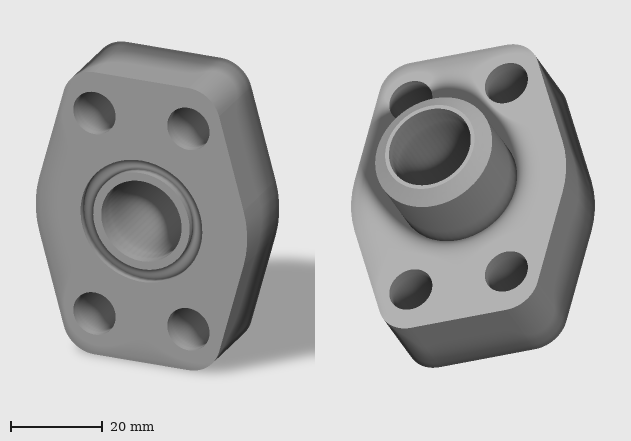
import cadquery as cq
import math

plate_height = 67.0
plate_thickness = 18.0
waist_radius = 25.0
flank_angle = math.radians(15.1)

bolt_spacing_x = 22.2
bolt_spacing_z = 47.6
bolt_hole_diameter = 10.0

spigot_diameter = 27.2
spigot_length = 18.0
bevel_length = 2.4
bevel_depth = 3.2
bore_diameter = 19.0

groove_outer_diameter = 28.8
groove_inner_diameter = 22.8
groove_depth = 2.0


def cylinder(diameter, length, x=0.0, z=0.0):
    """Round bar along +Y, starting at the front face."""
    axis_start = cq.Vector(x, 0, z)
    axis = cq.Vector(0, 1, 0)
    return cq.Workplane(cq.Solid.makeCylinder(diameter / 2, length, axis_start, axis))


def make_plate():
    """Plate with straight top and bottom, rounded corners and leaning flanks."""
    half_height = plate_height / 2
    flat_end_x = bolt_spacing_x / 2
    sin_a = math.sin(flank_angle)
    cos_a = math.cos(flank_angle)

    corner_radius = (waist_radius - flat_end_x * cos_a - half_height * sin_a) / (1 - sin_a)
    corner_z = half_height - corner_radius
    corner_end_x = flat_end_x + corner_radius * cos_a
    corner_end_z = corner_z + corner_radius * sin_a
    mid_angle = (flank_angle + math.pi / 2) / 2
    corner_mid_x = flat_end_x + corner_radius * math.cos(mid_angle)
    corner_mid_z = corner_z + corner_radius * math.sin(mid_angle)
    waist_x = waist_radius * cos_a
    waist_z = waist_radius * sin_a

    return (
        cq.Workplane("XZ")
        .moveTo(-flat_end_x, half_height)
        .lineTo(flat_end_x, half_height)
        .threePointArc((corner_mid_x, corner_mid_z), (corner_end_x, corner_end_z))
        .lineTo(waist_x, waist_z)
        .threePointArc((waist_radius, 0), (waist_x, -waist_z))
        .lineTo(corner_end_x, -corner_end_z)
        .threePointArc((corner_mid_x, -corner_mid_z), (flat_end_x, -half_height))
        .lineTo(-flat_end_x, -half_height)
        .threePointArc((-corner_mid_x, -corner_mid_z), (-corner_end_x, -corner_end_z))
        .lineTo(-waist_x, -waist_z)
        .threePointArc((-waist_radius, 0), (-waist_x, waist_z))
        .lineTo(-corner_end_x, corner_end_z)
        .threePointArc((-corner_mid_x, corner_mid_z), (-flat_end_x, half_height))
        .close()
        .extrude(-plate_thickness)
    )


def make_spigot():
    """Round spigot with a weld bevel at its free end, turned about the Y axis."""
    radius = spigot_diameter / 2
    end_y = plate_thickness + spigot_length
    return (
        cq.Workplane("XY")
        .moveTo(0, 0)
        .lineTo(radius, 0)
        .lineTo(radius, end_y - bevel_length)
        .lineTo(radius - bevel_depth, end_y)
        .lineTo(0, end_y)
        .close()
        .revolve(360, (0, 0, 0), (0, 1, 0))
    )


def make_bolt_holes():
    """Four plain through holes at the corners of a rectangle."""
    holes = cq.Workplane("XZ")
    for side_x in (-1, 1):
        for side_z in (-1, 1):
            x = side_x * bolt_spacing_x / 2
            z = side_z * bolt_spacing_z / 2
            holes = holes.add(cylinder(bolt_hole_diameter, plate_thickness, x, z))
    return holes.combine()


def make_groove():
    """Ring-shaped O-ring groove, sunk from the front face."""
    core = cylinder(groove_inner_diameter, groove_depth)
    return cylinder(groove_outer_diameter, groove_depth).cut(core)


bore = cylinder(bore_diameter, plate_thickness + spigot_length)
result = make_plate().union(make_spigot()).cut(make_bolt_holes()).cut(make_groove()).cut(bore)